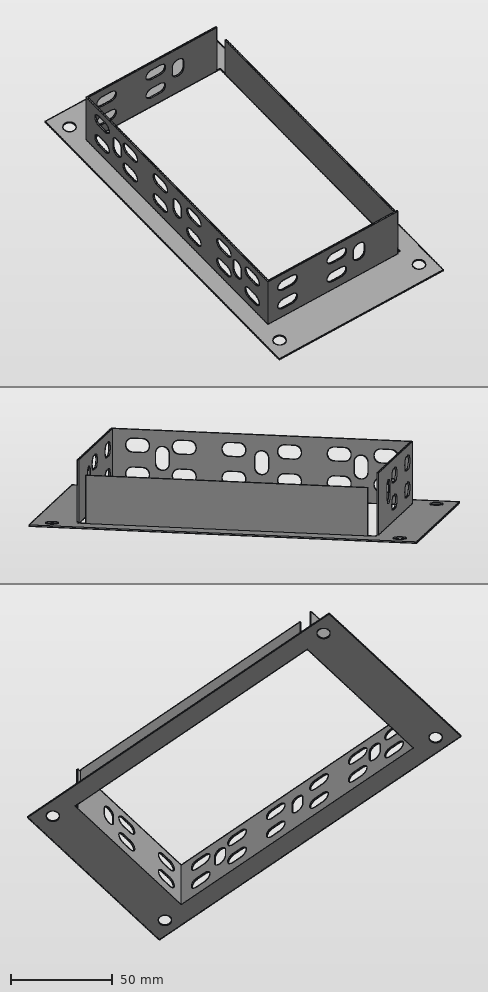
import cadquery as cq

sheet = 0.8
plate_length = 195.0
plate_width = 100.0
opening_length = 150.0
opening_width = 80.4
total_height = 32.0

hole_diameter = 6.5
hole_spacing_x = 175.0
hole_spacing_y = 85.0

frame_length = opening_length + 2 * sheet
front_face_y = -(opening_width / 2 + sheet)
side_end_gap = 2.0
side_end_y = opening_width / 2 - side_end_gap
back_end_gap = 4.0
back_length = opening_length - 2 * back_end_gap
back_height = 25.0

slot_length = 12.0
slot_width = 7.0
upright_slot_z = 18.0
front_row_heights = (9.5, 24.0)
front_group_spacing = 50.0
front_slot_offsets = (14.0, 39.0, 62.5)
side_row_heights = (10.0, 23.5)
side_slot_positions = (-29.0, 1.0)
side_upright_slot_y = 14.5


def block(x_range, y_range, z_range):
    """Box spanning the given lower and upper limits on each axis."""
    x_min, x_max = x_range
    y_min, y_max = y_range
    z_min, z_max = z_range
    box = cq.Workplane("XY").box(x_max - x_min, y_max - y_min, z_max - z_min, centered=False)
    return box.translate((x_min, y_min, z_min))


def make_plate():
    """Base plate with its opening and corner holes."""
    plate = cq.Workplane("XY").rect(plate_length, plate_width).rect(opening_length, opening_width)
    plate = plate.extrude(sheet)
    holes = cq.Workplane("XY").rect(hole_spacing_x, hole_spacing_y, forConstruction=True).vertices()
    return plate.cut(holes.circle(hole_diameter / 2).extrude(sheet))


def slot_cutters(plane, level_points, upright_points, depth):
    """Level and upright slots centred on a wall plane, cut to both sides of it."""
    level = cq.Workplane(plane).pushPoints(level_points).slot2D(slot_length, slot_width)
    upright = cq.Workplane(plane).pushPoints(upright_points).slot2D(slot_length, slot_width, 90)
    return level.extrude(depth, both=True).union(upright.extrude(depth, both=True))


def make_front_wall():
    """Tall front wall with three groups of slots."""
    half_length = frame_length / 2
    wall = block((-half_length, half_length), (front_face_y, front_face_y + sheet), (0, total_height))
    level_points = [
        (side * offset, height)
        for side in (-1, 1)
        for offset in front_slot_offsets
        for height in front_row_heights
    ]
    upright_points = [(step * front_group_spacing, upright_slot_z) for step in (-1, 0, 1)]
    cutters = slot_cutters("XZ", level_points, upright_points, 2 * sheet)
    return wall.cut(cutters.translate((0, front_face_y, 0)))


def make_side_walls():
    """Left and right walls, sharing one slot pattern that runs through both."""
    half_length = frame_length / 2
    y_range = (front_face_y, side_end_y)
    left = block((-half_length, sheet - half_length), y_range, (0, total_height))
    walls = left.union(left.mirror("YZ"))
    level_points = [(y, height) for y in side_slot_positions for height in side_row_heights]
    upright_points = [(side_upright_slot_y, upright_slot_z)]
    return walls.cut(slot_cutters("YZ", level_points, upright_points, frame_length))


def make_back_wall():
    """Lower plain wall along the back of the opening."""
    back_face_y = opening_width / 2
    return block((-back_length / 2, back_length / 2), (back_face_y, back_face_y + sheet), (0, back_height))


result = make_plate().union(make_front_wall()).union(make_side_walls()).union(make_back_wall()).clean()